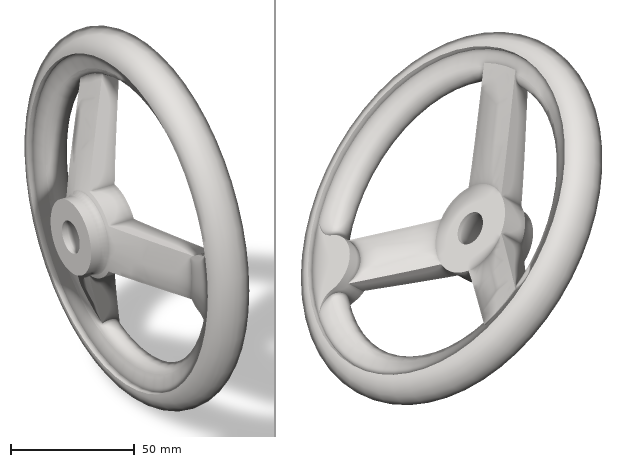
import cadquery as cq
import math

WHEEL_AXIS = ((0, 0, 0), (0, 1, 0))

WHEEL_RADIUS = 80.0
GRIP_RADIUS = 9.0
OVERALL_DEPTH = 40.0
GRIP_CENTRE_R = WHEEL_RADIUS - GRIP_RADIUS
RIM_MID_Y = OVERALL_DEPTH - GRIP_RADIUS
RIM_INNER_RADIUS = 60.0
CORE_ROUND = 5.0
CORE_FLANK_ANGLE = math.radians(15)
GRIP_LIP_HALF_DEPTH = 6.7
GRIP_LIP_DRAFT = 0.35

BORE_RADIUS = 7.0
NOSE_RADIUS = 16.0
NOSE_LENGTH = 4.4
NECK_FILLET = 3.7
HUB_RADIUS = 19.2
HUB_BACK_Y = 20.0

SPOKE_COUNT = 3
DISH_FRONT_R = 17.4
DISH_FRONT_SLOPE = 0.463
DISH_BACK_SLOPE = 0.37
DISH_OUTER_R = 65.0
SPOKE_HALF_WIDTH_HUB = 10.6
SPOKE_HALF_WIDTH_RIM = 9.8

BOSS_CENTRE_R = 63.0
BOSS_RADIUS = 13.0
BOSS_BLEND_RADIUS = 9.0


def revolve_about_wheel_axis(profile):
    """Revolve a closed (radius, Y) profile a full turn about the wheel axis."""
    return profile.close().revolve(360, *WHEEL_AXIS)


def make_grip():
    """Half-round grip with a shallow drafted lip on either side of the core."""
    lip_r = GRIP_CENTRE_R - GRIP_LIP_DRAFT
    profile = (
        cq.Workplane("XY")
        .moveTo(GRIP_CENTRE_R, RIM_MID_Y - GRIP_RADIUS)
        .threePointArc((WHEEL_RADIUS, RIM_MID_Y), (GRIP_CENTRE_R, RIM_MID_Y + GRIP_RADIUS))
        .lineTo(lip_r, RIM_MID_Y + GRIP_LIP_HALF_DEPTH)
        .lineTo(lip_r, RIM_MID_Y - GRIP_LIP_HALF_DEPTH)
    )
    return revolve_about_wheel_axis(profile)


def make_core():
    """Inner rim core: a round inner edge whose tangent flanks widen toward the grip."""
    round_centre_r = RIM_INNER_RADIUS + CORE_ROUND
    tangent_r = round_centre_r - CORE_ROUND * math.sin(CORE_FLANK_ANGLE)
    tangent_half_depth = CORE_ROUND * math.cos(CORE_FLANK_ANGLE)
    root_half_depth = tangent_half_depth + (GRIP_CENTRE_R - tangent_r) * math.tan(CORE_FLANK_ANGLE)
    profile = (
        cq.Workplane("XY")
        .moveTo(GRIP_CENTRE_R, RIM_MID_Y - root_half_depth)
        .lineTo(tangent_r, RIM_MID_Y - tangent_half_depth)
        .threePointArc((RIM_INNER_RADIUS, RIM_MID_Y), (tangent_r, RIM_MID_Y + tangent_half_depth))
        .lineTo(GRIP_CENTRE_R, RIM_MID_Y + root_half_depth)
    )
    return revolve_about_wheel_axis(profile)


def make_dished_disc():
    """Hub and full conical dish as one turned body: nose, concave neck fillet and dish."""
    neck_drop = DISH_FRONT_R - NOSE_RADIUS
    neck_half_angle = math.acos(1 - neck_drop / NECK_FILLET) / 2
    neck_mid_r = NOSE_RADIUS + NECK_FILLET * (1 - math.cos(neck_half_angle))
    neck_mid_y = NOSE_LENGTH + NECK_FILLET * math.sin(neck_half_angle)
    neck_end_y = NOSE_LENGTH + NECK_FILLET * math.sin(2 * neck_half_angle)

    dish_radial_length = DISH_OUTER_R - DISH_FRONT_R
    dish_front_outer_y = neck_end_y + DISH_FRONT_SLOPE * dish_radial_length
    dish_back_outer_y = HUB_BACK_Y + DISH_BACK_SLOPE * (DISH_OUTER_R - HUB_RADIUS)
    profile = (
        cq.Workplane("XY")
        .lineTo(NOSE_RADIUS, 0)
        .lineTo(NOSE_RADIUS, NOSE_LENGTH)
        .threePointArc((neck_mid_r, neck_mid_y), (DISH_FRONT_R, neck_end_y))
        .lineTo(DISH_OUTER_R, dish_front_outer_y)
        .lineTo(DISH_OUTER_R, dish_back_outer_y)
        .lineTo(HUB_RADIUS, HUB_BACK_Y)
        .lineTo(0, HUB_BACK_Y)
    )
    return revolve_about_wheel_axis(profile)


def make_hub_and_spokes():
    """Dished disc trimmed to the hub barrel and the tapered arms."""
    arm = (
        cq.Workplane("XZ")
        .moveTo(0, -SPOKE_HALF_WIDTH_HUB)
        .lineTo(WHEEL_RADIUS, -SPOKE_HALF_WIDTH_RIM)
        .lineTo(WHEEL_RADIUS, SPOKE_HALF_WIDTH_RIM)
        .lineTo(0, SPOKE_HALF_WIDTH_HUB)
        .close()
        .extrude(-OVERALL_DEPTH)
    )
    plan = cq.Workplane("XZ").circle(HUB_RADIUS).extrude(-OVERALL_DEPTH)
    for index in range(SPOKE_COUNT):
        plan = plan.union(arm.rotate(*WHEEL_AXIS, index * 360 / SPOKE_COUNT))
    return make_dished_disc().intersect(plan)


def make_handle_boss():
    """Round boss blended into the grip lip by a concave arc on each side."""
    lip_r = GRIP_CENTRE_R - GRIP_LIP_DRAFT

    blend_centre_r = lip_r - BOSS_BLEND_RADIUS
    centre_distance = BOSS_RADIUS + BOSS_BLEND_RADIUS
    blend_x = (BOSS_CENTRE_R**2 + blend_centre_r**2 - centre_distance**2) / (2 * BOSS_CENTRE_R)
    blend_z = math.sqrt(blend_centre_r**2 - blend_x**2)

    boss_tangent_share = BOSS_RADIUS / centre_distance
    boss_x = BOSS_CENTRE_R + (blend_x - BOSS_CENTRE_R) * boss_tangent_share
    boss_z = blend_z * boss_tangent_share
    lip_x = blend_x * lip_r / blend_centre_r
    lip_z = blend_z * lip_r / blend_centre_r

    to_boss = math.atan2(boss_z - blend_z, boss_x - blend_x)
    to_lip = math.atan2(lip_z - blend_z, lip_x - blend_x)
    bisector = (to_boss + to_lip) / 2
    mid_x = blend_x + BOSS_BLEND_RADIUS * math.cos(bisector)
    mid_z = blend_z + BOSS_BLEND_RADIUS * math.sin(bisector)

    return (
        cq.Workplane("XZ", origin=(0, RIM_MID_Y - GRIP_LIP_HALF_DEPTH, 0))
        .moveTo(lip_x, -lip_z)
        .threePointArc((mid_x, -mid_z), (boss_x, -boss_z))
        .threePointArc((BOSS_CENTRE_R - BOSS_RADIUS, 0), (boss_x, boss_z))
        .threePointArc((mid_x, mid_z), (lip_x, lip_z))
        .threePointArc((lip_r, 0), (lip_x, -lip_z))
        .close()
        .extrude(-2 * GRIP_LIP_HALF_DEPTH)
    )


bore = cq.Workplane("XZ").circle(BORE_RADIUS).extrude(-OVERALL_DEPTH)
rim = make_grip().union(make_core()).union(make_handle_boss())
result = rim.union(make_hub_and_spokes()).cut(bore)